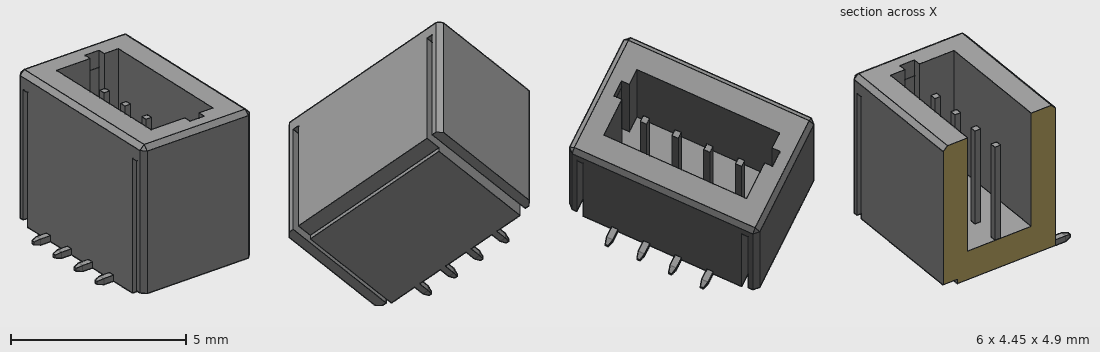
import cadquery as cq


body_width = 6.0
body_depth = 3.9
total_height = 4.9
foot_height = 0.15
foot_setback = 0.5
edge_chamfer = 0.15

core_width = 5.0
slot_width = 0.2
slot_top_wall = 0.55

cavity_width = 4.5
cavity_wall = 0.85
cavity_floor = 1.0
key_width = 0.5
key_rear_distance = 1.35

pin_count = 4
pin_pitch = 1.0
pin_size = 0.2
pin_y = 2.0
pin_recess = 0.7
tail_straight = 0.35
tail_taper = 0.2
tail_tip_size = 0.1


def block(x_size, y_start, y_end, z_start, z_end, x_center=0.0):
    """Box centred on x_center and spanning the given Y and Z ranges."""
    return (
        cq.Workplane("XY")
        .box(x_size, y_end - y_start, z_end - z_start, centered=(True, False, False))
        .translate((x_center, y_start, z_start))
    )


def make_housing():
    """Chamfered shell on a narrower foot."""
    shell = block(body_width, 0, body_depth, foot_height, total_height)
    shell = shell.edges("|Z or >Z").chamfer(edge_chamfer)
    foot = block(core_width, 0, body_depth - foot_setback, 0, foot_height)
    return shell.union(foot)


def cut_side_slots(housing):
    """Slots open at the front, rear and bottom."""
    slot_x = (core_width + slot_width) / 2
    slot_top = total_height - slot_top_wall
    for side in (-1, 1):
        slot = block(slot_width, 0, body_depth, 0, slot_top, side * slot_x)
        housing = housing.cut(slot)
    return housing


def cut_cavity(housing):
    """Open-topped cavity; its keyways span the core and so open into the slots."""
    pocket = block(cavity_width, cavity_wall, body_depth - cavity_wall, cavity_floor, total_height)
    key_rear = body_depth - key_rear_distance
    keyways = block(core_width, key_rear - key_width, key_rear, cavity_floor, total_height)
    return housing.cut(pocket).cut(keyways)


def make_pin(x):
    """Upright contact rising from the floor, and a tapered tail leaving the front at the bottom."""
    contact = block(pin_size, pin_y - pin_size / 2, pin_y + pin_size / 2, 0, total_height - pin_recess, x)
    tail = block(pin_size, -tail_straight, pin_y, 0, pin_size, x)
    tip = (
        cq.Workplane("XZ", origin=(x, -tail_straight, pin_size / 2))
        .rect(pin_size, pin_size)
        .workplane(offset=tail_taper)
        .rect(tail_tip_size, tail_tip_size)
        .loft(ruled=True)
    )
    return contact.union(tail).union(tip)


result = cut_cavity(cut_side_slots(make_housing()))
for index in range(pin_count):
    pin_x = (index - (pin_count - 1) / 2) * pin_pitch
    result = result.union(make_pin(pin_x))